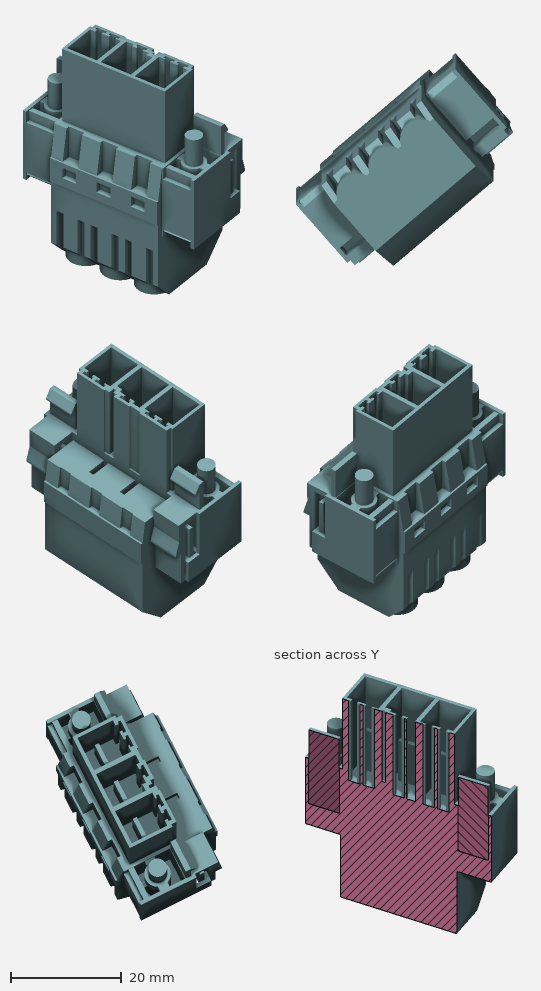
import cadquery as cq

pole_pitch = 7.6
pole_centres = [-pole_pitch, 0, pole_pitch]
sides = [-1, 1]

body_half_width = 11.95
face_y = 9.95
band_y = 10.3
band_bottom_z = 17.35
band_top_z = 22.45
deck_z = 29.15
shelf_z = 27.25
deck_front_y = -8.78
shelf_rear_y = 9.25

shroud_top_z = 45
shroud_half_width = 11.5
shroud_front_y = -7.25
shroud_rear_y = 2.48
pocket_front_y = -6.53
pocket_floor_z = 27
pocket_half_width = 3.38
outer_wall_shift = 0.15

flange_outer_x = 19.05
flange_bay_outer_x = 18.3
flange_bay_inner_x = 12.15
flange_bay = (flange_bay_inner_x, flange_bay_outer_x)
flange_bay_centre_x = (flange_bay_outer_x + flange_bay_inner_x) / 2
flange_bottom_z = 14.1
flange_rear_y = 5.45
bulkhead_front_y = 4.4
flange_floor_z = 18.95
flange_wall_rear_y = -6.8
flange_recess_y = -7.88
screw_y = -3.5
screw_diameter = 3.38
screw_radius = screw_diameter / 2
screw_top_z = 34.85
collar_radius = 2.4
collar_top_z = 29.0

bridge_bottom_z = 28.0

contact_width = 4.4
contact_thickness = 0.8
contact_y = -3.15
contact_bottom_z = 22.5
contact_top_z = 36


def block(x0, x1, y0, y1, z0, z1):
    """Box between two opposite corners, given as pairs of limits in any order."""
    return (
        cq.Workplane("XY")
        .box(abs(x1 - x0), abs(y1 - y0), abs(z1 - z0), centered=False)
        .translate((min(x0, x1), min(y0, y1), min(z0, z1)))
    )


def side_profile(points, x0, x1):
    """Outline of (y, z) points extruded along X from x0 to x1."""
    return cq.Workplane("YZ").workplane(offset=x0).polyline(points).close().extrude(x1 - x0)


def post(x, y, radius, z0, z1):
    """Upright cylinder."""
    return cq.Workplane("XY").workplane(offset=z0).center(x, y).circle(radius).extrude(z1 - z0)


def central_body():
    outline = [
        (5.05, 0),
        (-6.55, 0),
        (-face_y, 3.55),
        (-face_y, band_bottom_z),
        (-band_y, band_bottom_z),
        (-band_y, band_top_z),
        (-face_y, band_top_z),
        (deck_front_y, deck_z),
        (shroud_rear_y, deck_z),
        (shroud_rear_y, shelf_z),
        (shelf_rear_y, shelf_z),
        (face_y, band_top_z),
        (band_y, band_top_z),
        (band_y, band_bottom_z),
        (face_y, band_bottom_z),
        (face_y, 4.9),
    ]
    return side_profile(outline, -body_half_width, body_half_width)


def cut_grip_notches(body):
    """Notches in the sloping front and rear faces above the band."""
    front_width = 3.45
    front_half_width = front_width / 2
    front_depth_y = -8.0
    rear_half_width = 1.25
    rear_depth_y = 9.1
    for x in pole_centres:
        front = (x - front_half_width, x + front_half_width)
        rear = (x - rear_half_width, x + rear_half_width)
        body = body.cut(block(*front, -band_y, front_depth_y, band_top_z, deck_z))
        body = body.cut(block(*rear, rear_depth_y, band_y, band_top_z, shelf_z))
    return body


def cut_band_windows(body):
    """Shallow rectangular windows in the front of the band."""
    half_width = 1.55
    bottom_z = 19.15
    top_z = 21.4
    depth = 1.1
    for x in pole_centres:
        body = body.cut(block(x - half_width, x + half_width, -band_y, depth - band_y, bottom_z, top_z))
    return body


def add_wire_funnels(body):
    """Upright cylinders at the bottom front, laid open by a pair of grooves each."""
    funnel_radius = 3.7
    funnel_y = -5.18
    groove_inner = 1.58
    groove_outer = 3.1
    groove_rear_y = -6.98
    groove_top_z = 11.05
    for x in pole_centres:
        for side in sides:
            groove = (x + side * groove_inner, x + side * groove_outer)
            body = body.cut(block(*groove, -face_y, groove_rear_y, 0, groove_top_z))
        body = body.union(post(x, funnel_y, funnel_radius, 0, groove_top_z))
    return body


def add_shroud(body):
    corner_step_x = 11.0
    corner_step_y = 1.45
    width = (-shroud_half_width, shroud_half_width)
    shroud = block(*width, shroud_front_y, shroud_rear_y, shelf_z, shroud_top_z)
    for side in sides:
        corner = (side * corner_step_x, side * shroud_half_width)
        shroud = shroud.cut(block(*corner, corner_step_y, shroud_rear_y, deck_z, shroud_top_z))
    return body.union(shroud)


def cut_keying_grooves(body):
    """Grooves in the rear of the shroud, and the two shelf slots they run down to."""
    key_x = 4.3
    middle_key_x = 2.03
    notch_x = 3.35
    shelf_slot_width = 1.1
    shallow_y = 2.2
    slot_rear_y = 6.53
    slot_bottom_z = 24.75
    grooves = [
        (-key_x, -1.85, shallow_y),
        (middle_key_x, key_x, shallow_y),
        (middle_key_x, notch_x, 1.7),
        (2.75, notch_x, 1.0),
    ]
    for x0, x1, depth_y in grooves:
        body = body.cut(block(x0, x1, depth_y, shroud_rear_y, deck_z, shroud_top_z))
    for side in sides:
        slot = (side * (key_x - shelf_slot_width), side * key_x)
        body = body.cut(block(*slot, shroud_rear_y, slot_rear_y, slot_bottom_z, shelf_z))
    return body


def pocket_cavity(x0, x1, rear_steps, slot_centres):
    """Shroud pocket: steps (x, y) give the rear wall from each x onward, with T-slots behind it."""
    slot_neck_width = 1.3
    slot_neck_half_width = slot_neck_width / 2
    slot_head_half_width = 1.13
    slot_head_front_y = 1.3
    slot_head_rear_y = 1.9
    heights = (pocket_floor_z, shroud_top_z)
    neck_front_y = min(y for _, y in rear_steps)
    step_ends = [x for x, _ in rear_steps[1:]] + [x1]
    cavity = block(x0, x1, pocket_front_y, neck_front_y, *heights)
    for (step_x, step_y), end_x in zip(rear_steps, step_ends):
        cavity = cavity.union(block(step_x, end_x, pocket_front_y, step_y, *heights))
    for x in slot_centres:
        neck = (x - slot_neck_half_width, x + slot_neck_half_width)
        head = (x - slot_head_half_width, x + slot_head_half_width)
        cavity = cavity.union(block(*neck, pocket_front_y, slot_head_front_y, *heights))
        cavity = cavity.union(block(*head, slot_head_front_y, slot_head_rear_y, *heights))
    return cavity


def cut_pockets(body):
    outer_rear_y = 0.68
    rear_y = 0.8
    inner_rear_y = 1.0
    end_slot_offset = 1.5
    left_x0 = -pole_pitch - pocket_half_width + outer_wall_shift
    left_x1 = -pole_pitch + pocket_half_width
    end_slots = [-pole_pitch - end_slot_offset, -pole_pitch + end_slot_offset]
    end_steps = [(left_x0, outer_rear_y), (end_slots[0], rear_y), (end_slots[1], inner_rear_y)]
    left_cavity = pocket_cavity(left_x0, left_x1, end_steps, end_slots)

    middle_steps = [(-pocket_half_width, 1.45), (-1.7, rear_y), (2.03, 0.1)]
    middle_cavity = pocket_cavity(-pocket_half_width, pocket_half_width, middle_steps, [0])
    return body.cut(left_cavity).cut(left_cavity.mirror("YZ")).cut(middle_cavity)


def flange_shell():
    """Front wall, floor, outer plate and rear bulkhead of one flange."""
    front_part = block(body_half_width, flange_outer_x, deck_front_y, shroud_rear_y, flange_bottom_z, deck_z)
    front_part = front_part.cut(block(*flange_bay, flange_wall_rear_y, shroud_rear_y, flange_floor_z, deck_z))
    outer_plate = block(
        flange_bay_outer_x, flange_outer_x, shroud_rear_y, flange_rear_y, flange_bottom_z, flange_floor_z
    )
    bulkhead = block(
        body_half_width, flange_bay_outer_x, bulkhead_front_y, flange_rear_y, flange_bottom_z, flange_floor_z
    )
    return front_part.union(outer_plate).union(bulkhead)


def cut_flange_front(flange):
    """Step at the top of the front wall and a ridged recess at its bottom edge."""
    wall_top_z = 28.85
    step_z = 26.8
    flange = flange.cut(block(*flange_bay, deck_front_y, flange_wall_rear_y, wall_top_z, deck_z))
    flange = flange.cut(block(*flange_bay, deck_front_y, flange_recess_y, step_z, deck_z))
    recess = [
        (deck_front_y, 15.7),
        (-8.2, 15.7),
        (-8.65, 15.25),
        (-7.43, flange_bottom_z),
        (deck_front_y, flange_bottom_z),
    ]
    return flange.cut(side_profile(recess, *flange_bay))


def screw_collar():
    """Guide collar with full-height ribs to the bay sides and a lower one to the front wall."""
    front_rib_top_z = 25.2
    side_rib_rear_y = -2.6
    side_rib_front_y = -4.55
    front_rib_half_width = 0.55
    x = flange_bay_centre_x
    collar = post(x, screw_y, collar_radius, flange_floor_z, collar_top_z)
    side_ribs = block(*flange_bay, side_rib_front_y, side_rib_rear_y, flange_floor_z, collar_top_z)
    front_rib = block(
        x - front_rib_half_width, x + front_rib_half_width,
        flange_wall_rear_y, screw_y, flange_floor_z, front_rib_top_z,
    )
    return collar.union(side_ribs).union(front_rib)


def build_flange():
    flange = cut_flange_front(flange_shell()).union(screw_collar())
    return flange.cut(post(flange_bay_centre_x, screw_y, screw_radius, flange_bottom_z, deck_z))


def build_contact(x):
    half_width = contact_width / 2
    front_y = contact_y - contact_thickness / 2
    rear_y = contact_y + contact_thickness / 2
    return block(x - half_width, x + half_width, front_y, rear_y, contact_bottom_z, contact_top_z)


def build_screw(side):
    return post(side * flange_bay_centre_x, screw_y, screw_radius, flange_bottom_z, screw_top_z)


def latch_frame():
    """Inverted U: outer arm with a catch, bridge, and tall inner arm with a hook."""
    stem_rear_y = 6.65
    shoulder_y = 0.55
    inner_arm_front_y = 0.65
    inner_arm_rear_y = 1.65
    hook_tip_y = 2.8
    hook_bottom_z = 33.55
    latch_top_z = 35.6
    catch_bottom_z = 21.55
    outline = [
        (shoulder_y, flange_floor_z),
        (shoulder_y, deck_z),
        (inner_arm_front_y, deck_z),
        (inner_arm_front_y, latch_top_z),
        (inner_arm_rear_y, latch_top_z),
        (hook_tip_y, 33.85),
        (hook_tip_y, hook_bottom_z),
        (inner_arm_rear_y, hook_bottom_z),
        (inner_arm_rear_y, deck_z),
        (7.25, deck_z),
        (7.15, 24.9),
        (8.0, 22.0),
        (8.0, catch_bottom_z),
        (stem_rear_y, catch_bottom_z),
        (stem_rear_y, flange_bottom_z),
        (flange_rear_y, flange_bottom_z),
        (flange_rear_y, bridge_bottom_z),
        (inner_arm_rear_y, bridge_bottom_z),
        (inner_arm_rear_y, flange_floor_z),
    ]
    return side_profile(outline, *flange_bay)


def latch_web():
    """Tapered web under the bridge, with a lower cheek on each side of it."""
    cheek_thickness = 1.35
    cheek_top_z = 26.15
    web = [
        (flange_rear_y, flange_floor_z),
        (3.25, flange_floor_z),
        (3.65, bridge_bottom_z),
        (flange_rear_y, bridge_bottom_z),
    ]
    cheek_space = block(*flange_bay, 0, bulkhead_front_y, flange_floor_z, cheek_top_z)
    wide_web = side_profile(web, *flange_bay).intersect(cheek_space)
    narrow_web = side_profile(web, flange_bay_inner_x + cheek_thickness, flange_bay_outer_x - cheek_thickness)
    return narrow_web.union(wide_web)


def build_latch(side):
    latch = latch_frame().union(latch_web())
    if side < 0:
        latch = latch.mirror("YZ")
    return latch


contacts = [build_contact(x) for x in pole_centres]
screws = [build_screw(side) for side in sides]
latches = [build_latch(side) for side in sides]

flange = build_flange()
housing = add_wire_funnels(cut_band_windows(cut_grip_notches(central_body())))
housing = cut_pockets(cut_keying_grooves(add_shroud(housing)))
housing = housing.union(flange).union(flange.mirror("YZ"))
for contact in contacts:
    housing = housing.cut(contact)

result = cq.Compound.makeCompound(
    [housing.solids().val()]
    + [latch.solids().val() for latch in latches]
    + [screw.val() for screw in screws]
    + [contact.val() for contact in contacts]
)